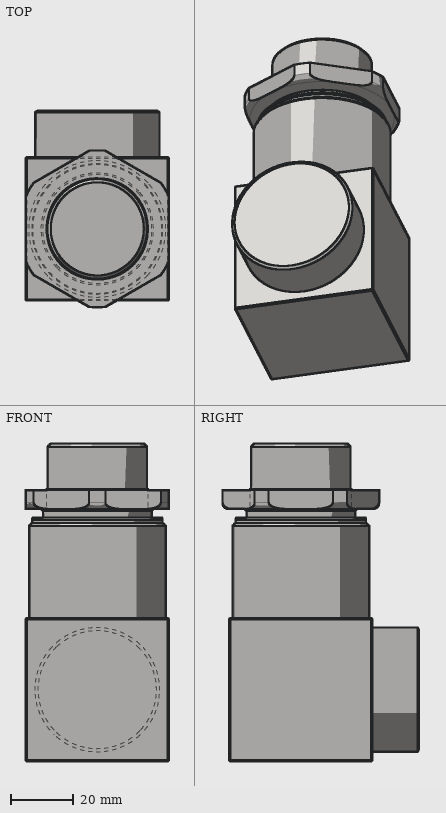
import cadquery as cq

cube_side = 46.0
cube_chamfer = 0.4
overall_height = 102.0

boss_diameter = 40.0
boss_length = 15.0
boss_chamfer_length = 0.6
boss_chamfer_depth = 1.0

sleeve_diameter = 44.0
sleeve_cone_base = 75.5
rim_diameter = 42.0
rim_base = 76.5
rim_top = 78.2
rim_chamfer_length = 0.7
rim_chamfer_depth = 0.3

nut_across_flats = cube_side
nut_corner_diameter = 50.4
nut_thickness = 6.0
nut_fillet = 2.0

thread_diameter = 32.0
thread_tip_diameter = 29.9
thread_length = 15.0
collar_diameter = 32.5
collar_height = 0.3
neck_diameter = 35.0
flare_diameter = 36.0
flare_height = 0.6

nut_top = overall_height - thread_length
nut_base = nut_top - nut_thickness
thread_chamfer = (thread_diameter - thread_tip_diameter) / 2


def turned(points):
    """Revolve (radius, height) points about the Z axis."""
    return cq.Workplane("XZ").polyline(points).close().revolve(360, (0, 0, 0), (0, 1, 0))


def make_housing():
    """Cube with chamfered edges and a round boss on its back face."""
    cube = (
        cq.Workplane("XY")
        .box(cube_side, cube_side, cube_side, centered=(True, True, False))
        .edges()
        .chamfer(cube_chamfer)
    )
    boss = (
        cq.Workplane("XZ", origin=(0, cube_side / 2, cube_side / 2))
        .circle(boss_diameter / 2)
        .extrude(-boss_length)
        .faces(">Y")
        .edges()
        .chamfer(boss_chamfer_length, boss_chamfer_depth)
    )
    return cube.union(boss)


def make_sleeve():
    """Round sleeve on the cube, stepping through a cone to a chamfered rim."""
    sleeve_radius = sleeve_diameter / 2
    rim_radius = rim_diameter / 2
    return turned([
        (0, cube_side),
        (sleeve_radius, cube_side),
        (sleeve_radius, sleeve_cone_base),
        (rim_radius, rim_base),
        (rim_radius, rim_top - rim_chamfer_length),
        (rim_radius - rim_chamfer_depth, rim_top),
        (0, rim_top),
    ])


def make_stud():
    """Stud with a flared neck below the nut and a thread cylinder through it."""
    neck_radius = neck_diameter / 2
    thread_radius = thread_diameter / 2
    collar_radius = collar_diameter / 2
    collar_top = nut_top + collar_height
    return turned([
        (0, rim_top),
        (neck_radius, rim_top),
        (neck_radius, nut_base - flare_height),
        (flare_diameter / 2, nut_base),
        (collar_radius, nut_base),
        (collar_radius, collar_top),
        (thread_radius, collar_top),
        (thread_radius, overall_height - thread_chamfer),
        (thread_tip_diameter / 2, overall_height),
        (0, overall_height),
    ])


def make_nut():
    """Hexagon nut with rounded corners, filleted below, bored for the stud."""
    hexagon = (
        cq.Workplane("XY", origin=(0, 0, nut_base))
        .polygon(6, nut_across_flats, circumscribed=True)
        .extrude(nut_thickness)
    )
    corner_limit = (
        cq.Workplane("XY", origin=(0, 0, nut_base))
        .circle(nut_corner_diameter / 2)
        .extrude(nut_thickness)
        .faces("<Z")
        .edges()
        .fillet(nut_fillet)
    )
    bore = (
        cq.Workplane("XY", origin=(0, 0, nut_base))
        .circle(collar_diameter / 2)
        .extrude(nut_thickness)
    )
    return hexagon.intersect(corner_limit).cut(bore)


housing = make_housing()
sleeve = make_sleeve()
stud = make_stud()
nut = make_nut()

result = cq.Compound.makeCompound([housing.val(), sleeve.val(), stud.val(), nut.val()])